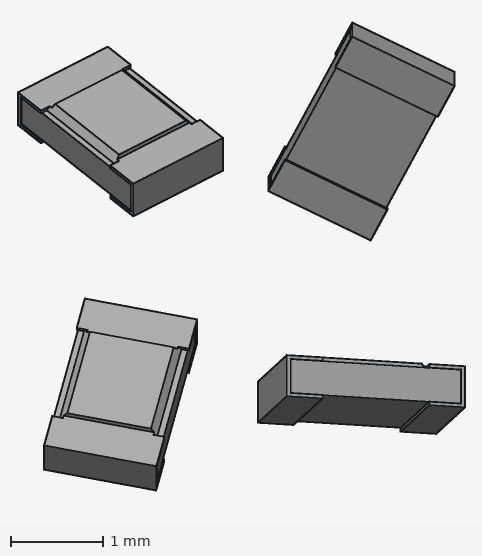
import cadquery as cq

length = 2.0
width = 1.25
height = 0.5

cap_length = 0.4
cap_end_wall = 0.045
cap_layer = 0.04
cap_height = height - cap_layer

core_inset = 0.015
core_length = length - 2 * cap_end_wall
core_width = width - 2 * core_inset
core_bottom = cap_layer
core_top = cap_height - cap_layer

coat_base_width = 1.085
coat_top_width = 0.93
raised_base_length = 1.135
raised_top_length = 1.108
gap_length = length - 2 * cap_length


def make_core():
    return (
        cq.Workplane("XY", origin=(0, 0, core_bottom))
        .box(core_length, core_width, core_top - core_bottom, centered=(True, True, False))
    )


def make_caps():
    """Two C-shaped caps, left when the middle of a full block is removed."""
    block = cq.Workplane("XY").box(length, width, cap_height, centered=(True, True, False))
    middle = cq.Workplane("XY").box(gap_length, width, cap_height, centered=(True, True, False))
    pocket = (
        cq.Workplane("XY", origin=(0, 0, core_bottom))
        .box(core_length, width, core_top - core_bottom, centered=(True, True, False))
    )
    return block.cut(middle).cut(pocket)


def make_coating():
    """Long sides slope in one plane; the ends step at cap height, then slope."""
    coat_half_base = coat_base_width / 2
    coat_half_top = coat_top_width / 2
    sloped_sides = (
        cq.Workplane("YZ")
        .polyline([
            (-coat_half_base, core_top),
            (coat_half_base, core_top),
            (coat_half_top, height),
            (-coat_half_top, height),
        ])
        .close()
        .extrude(gap_length / 2, both=True)
    )
    half_gap = gap_length / 2
    half_raised_base = raised_base_length / 2
    half_raised_top = raised_top_length / 2
    stepped_ends = (
        cq.Workplane("XZ")
        .polyline([
            (-half_gap, core_top),
            (half_gap, core_top),
            (half_gap, cap_height),
            (half_raised_base, cap_height),
            (half_raised_top, height),
            (-half_raised_top, height),
            (-half_raised_base, cap_height),
            (-half_gap, cap_height),
        ])
        .close()
        .extrude(width / 2, both=True)
    )
    return sloped_sides.intersect(stepped_ends)


result = make_core().union(make_caps()).union(make_coating())